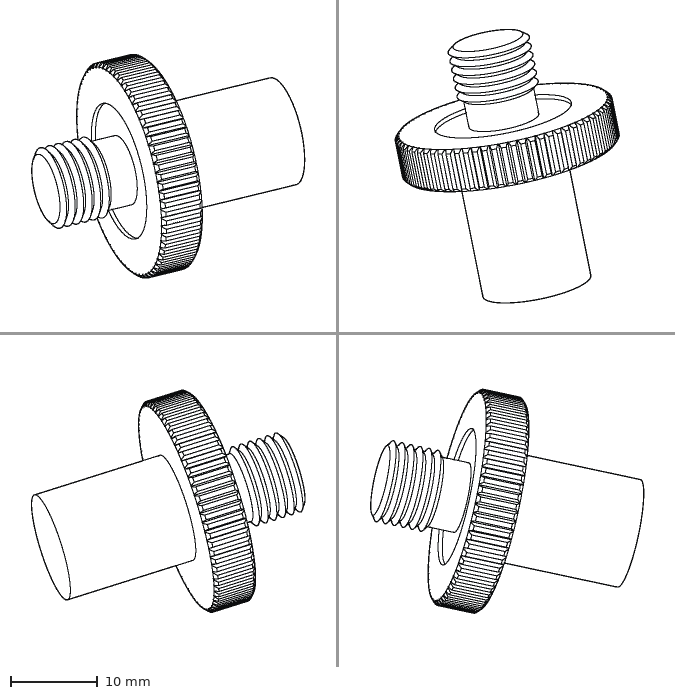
import cadquery as cq

WHEEL_RADIUS = 12.7
WHEEL_THICKNESS = 5.1
WHEEL_CHAMFER = 0.42

KNURL_COUNT = 70
KNURL_DEPTH = 0.53
KNURL_WIDTH = 0.55

RECESS_DIAMETER = 16.03
RECESS_DEPTH = 0.5

BARREL_DIAMETER = 12.68
OVERALL_LENGTH = 29.7

NECK_DIAMETER = 8.2
NECK_LENGTH = 2.75
THREAD_DIAMETER = 9.55
THREAD_PITCH = 1.07
THREAD_RIDGES = 6

STUD_LENGTH = NECK_LENGTH + THREAD_RIDGES * THREAD_PITCH
BARREL_LENGTH = OVERALL_LENGTH - STUD_LENGTH - WHEEL_THICKNESS


def cylinder(diameter, start_y, length):
    """Solid cylinder on the Y axis, running from start_y toward +Y."""
    plane = cq.Plane(origin=(0, start_y, 0), xDir=(1, 0, 0), normal=(0, 1, 0))
    return cq.Workplane(plane).circle(diameter / 2).extrude(length)


def knurl_groove(angle):
    """Triangular prism that cuts one straight V groove across the wheel rim."""
    overshoot = 2
    outer_half_width = KNURL_WIDTH / 2 * overshoot
    root_radius = WHEEL_RADIUS - KNURL_DEPTH
    outer_radius = root_radius + KNURL_DEPTH * overshoot
    return (
        cq.Workplane("XZ")
        .moveTo(0, root_radius)
        .lineTo(outer_half_width, outer_radius)
        .lineTo(-outer_half_width, outer_radius)
        .close()
        .extrude(-WHEEL_THICKNESS)
        .rotate((0, 0, 0), (0, 1, 0), angle)
    )


def knurled_wheel():
    """Chamfered disc with V grooves around the rim and a shallow recess in its front face."""
    wheel = cylinder(2 * WHEEL_RADIUS, 0, WHEEL_THICKNESS).edges().chamfer(WHEEL_CHAMFER)
    spacing = 360 / KNURL_COUNT
    grooves = [knurl_groove((i + 0.5) * spacing).val() for i in range(KNURL_COUNT)]
    wheel = wheel.cut(cq.Workplane(cq.Compound.makeCompound(grooves)))
    return wheel.cut(cylinder(RECESS_DIAMETER, 0, RECESS_DEPTH))


def threaded_stud():
    """Plain neck followed by sharp ring-shaped thread ridges, seated on the recess floor."""
    root_radius = NECK_DIAMETER / 2
    crest_radius = THREAD_DIAMETER / 2
    profile = cq.Workplane("XY").moveTo(0, RECESS_DEPTH).lineTo(root_radius, RECESS_DEPTH)
    profile = profile.lineTo(root_radius, -NECK_LENGTH)
    for ridge in range(THREAD_RIDGES):
        ridge_start = -NECK_LENGTH - ridge * THREAD_PITCH
        profile = profile.lineTo(crest_radius, ridge_start - THREAD_PITCH / 2)
        profile = profile.lineTo(root_radius, ridge_start - THREAD_PITCH)
    profile = profile.lineTo(0, -STUD_LENGTH).close()
    return profile.revolve(360, (0, 0, 0), (0, 1, 0))


barrel = cylinder(BARREL_DIAMETER, WHEEL_THICKNESS, BARREL_LENGTH)
result = knurled_wheel().union(barrel).union(threaded_stud())